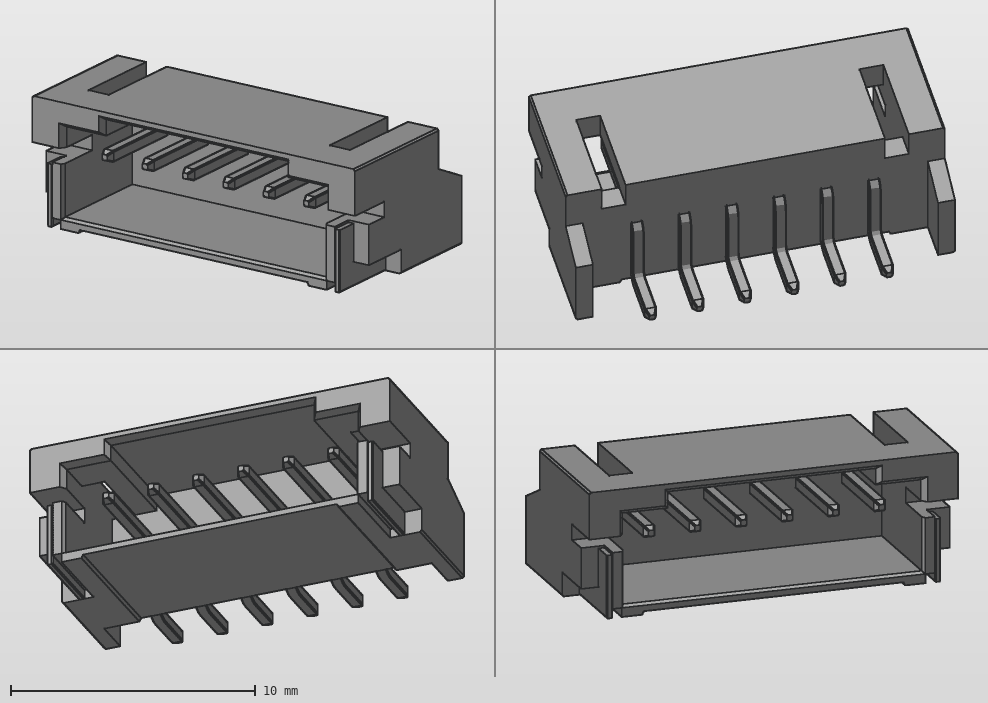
import cadquery as cq


width = 16.0
height = 5.5
block_depth = 6.05
edge_chamfer = 0.08

arm_thickness = 0.72
arm_back = 7.73
arm_low_top = 2.98
arm_high_top = 3.76

cavity_depth = 5.02
side_wall = 1.52
floor_thickness = 0.5
step_top = 4.38
cavity_top = 5.09
cavity_half_width = width / 2 - side_wall
step_half_width = 4.51
upper_mouth_growth = 0.2
upper_mouth_depth = 0.27
lower_mouth_growth = 0.1
lower_mouth_depth = 0.18

notch_bottom = 2.82
notch_top = 3.49
notch_depth = 2.13
notch_middle = (notch_bottom + notch_top) / 2
slot_width = 1.0
slot_front = 1.85
recess_height = 0.15
recess_end_wall = 2.29
recess_end_slope = 0.08
undercut_height = 0.4
undercut_inner = 1.4

tab_thickness = 0.25
tab_inset = 0.75
tab_height = 2.72
tab_edge_chamfer = 0.05
leg_depth = 1.0
foot_depth = 3.33
foot_height = 1.05
tab_seat = tab_inset + tab_thickness

pin_count = 6
pin_pitch = 2.0
pin_size = 0.5
pin_edge_chamfer = 0.05
pin_axis_height = 3.17
pin_front = 0.86
pin_back = 8.6
pin_leg_center = 6.1
bend_radius = 0.5
tip_length = 0.3
tip_size = 0.25
foot_axis_height = pin_size / 2


def box(x_range, y_range, z_range):
    """Block spanning the given (low, high) ranges."""
    lows, highs = zip(x_range, y_range, z_range)
    sizes = [high - low for low, high in zip(lows, highs)]
    return cq.Workplane("XY").box(*sizes, centered=False).translate(lows)


def cut_at_both_ends(body, left_shape):
    """Cut the shape at the -X end and its mirror image at the +X end."""
    return body.cut(left_shape).cut(left_shape.mirror("YZ"))


def prism(points_yz, x_start, thickness):
    """Outline in the YZ plane, extruded towards +X from x_start."""
    return cq.Workplane("YZ", origin=(x_start, 0, 0)).polyline(points_yz).close().extrude(thickness)


def l_outline(top):
    """Upright leg at the mouth with a lower foot behind it."""
    return [
        (0, 0),
        (foot_depth, 0),
        (foot_depth, foot_height),
        (leg_depth, foot_height),
        (leg_depth, top),
        (0, top),
    ]


def stepped_outline(bottom, growth=0.0):
    """Cavity outline from the given height to its stepped top, its sides and top moved out by growth."""
    half_outline = [
        (cavity_half_width + growth, bottom),
        (cavity_half_width + growth, step_top + growth),
        (step_half_width + growth, step_top + growth),
        (step_half_width + growth, cavity_top + growth),
    ]
    return half_outline + [(-x, z) for x, z in reversed(half_outline)]


def lower_outline(growth=0.0):
    """Cavity outline below the side notches, its sides and floor moved out by growth."""
    half_outline = [
        (cavity_half_width + growth, floor_thickness - growth),
        (cavity_half_width + growth, notch_middle),
    ]
    return half_outline + [(-x, z) for x, z in reversed(half_outline)]


def mouth_flare(front_outline, inner_outline, depth):
    """Flare from the outline on the front face to the one at the given depth."""
    front = cq.Workplane("XZ").polyline(front_outline).close()
    return front.workplane(offset=-depth).polyline(inner_outline).close().loft(ruled=True)


def make_outer_shape():
    """Block with two rear arms, its four long corners chamfered."""
    section = cq.Sketch().rect(width, height).vertices().chamfer(edge_chamfer)
    shape = cq.Workplane("XZ", origin=(0, 0, height / 2)).placeSketch(section).extrude(-arm_back)

    above_arms = prism(
        [(block_depth, arm_high_top), (arm_back, arm_low_top), (arm_back, height), (block_depth, height)],
        -width / 2,
        width,
    )
    arm_inner = width / 2 - arm_thickness
    between_arms = box((-arm_inner, arm_inner), (block_depth, arm_back), (0, height))
    return shape.cut(above_arms).cut(between_arms)


def make_housing(pins):
    """Outer shape with the cavity and all openings cut into it."""
    left = -width / 2
    housing = make_outer_shape()

    cavity = cq.Workplane("XZ").polyline(stepped_outline(floor_thickness)).close().extrude(-cavity_depth)
    housing = housing.cut(cavity)
    upper_front = stepped_outline(notch_middle, upper_mouth_growth)
    upper_flare = mouth_flare(upper_front, stepped_outline(notch_middle), upper_mouth_depth)
    lower_front = lower_outline(lower_mouth_growth)
    lower_flare = mouth_flare(lower_front, lower_outline(), lower_mouth_depth)
    housing = housing.cut(upper_flare).cut(lower_flare)

    notch = box((left, left + side_wall), (0, notch_depth), (notch_bottom, notch_top))
    housing = cut_at_both_ends(housing, notch)

    slot_left = left + side_wall
    slot = box((slot_left, slot_left + slot_width), (slot_front, block_depth), (step_top, height))
    housing = cut_at_both_ends(housing, slot)

    seat = prism(l_outline(notch_bottom), left, tab_seat)
    housing = cut_at_both_ends(housing, seat)
    undercut = box((left + tab_seat, left + undercut_inner), (0, foot_depth), (0, undercut_height))
    housing = cut_at_both_ends(housing, undercut)

    recess_half_width = width / 2 - recess_end_wall
    recess = (
        cq.Workplane("XZ")
        .polyline([
            (-recess_half_width, 0),
            (recess_half_width, 0),
            (recess_half_width - recess_end_slope, recess_height),
            (-recess_half_width + recess_end_slope, recess_height),
        ])
        .close()
        .extrude(-block_depth)
    )
    housing = housing.cut(recess)

    for pin in pins:
        housing = housing.cut(pin)
    return housing


def make_left_tab():
    """L-shaped plate with its front and bottom edges chamfered."""
    tab = prism(l_outline(tab_height), tab_inset - width / 2, tab_thickness)
    tab = tab.faces("<Y").edges("|Z").chamfer(tab_edge_chamfer)
    return tab.faces("<Z").edges("|Y").chamfer(tab_edge_chamfer)


def pin_section(size):
    """Square with cut corners."""
    return cq.Sketch().rect(size, size).vertices().chamfer(pin_edge_chamfer)


def pin_tip(y_base, y_end, center_height):
    """Tapered end from the full section to a smaller one."""
    end = pin_section(tip_size).moved(cq.Location(cq.Vector(0, 0, y_base - y_end)))
    plane = cq.Workplane("XZ", origin=(0, y_base, center_height))
    return plane.placeSketch(pin_section(pin_size), end).loft()


def make_pin(x):
    """Pin that runs back through the rear wall, down to the mounting plane and out to the back."""
    front_base = pin_front + tip_length
    back_base = pin_back - tip_length
    path = (
        cq.Workplane("YZ")
        .moveTo(front_base, pin_axis_height)
        .lineTo(pin_leg_center - bend_radius, pin_axis_height)
        .tangentArcPoint((pin_leg_center, pin_axis_height - bend_radius), relative=False)
        .lineTo(pin_leg_center, foot_axis_height + bend_radius)
        .tangentArcPoint((pin_leg_center + bend_radius, foot_axis_height), relative=False)
        .lineTo(back_base, foot_axis_height)
    )
    start = cq.Workplane("XZ", origin=(0, front_base, pin_axis_height))
    bar = start.placeSketch(pin_section(pin_size)).sweep(path)
    pin = bar.union(pin_tip(front_base, pin_front, pin_axis_height))
    pin = pin.union(pin_tip(back_base, pin_back, foot_axis_height))
    return pin.translate((x, 0, 0))


pins = [make_pin((index - (pin_count - 1) / 2) * pin_pitch) for index in range(pin_count)]
housing = make_housing(pins)
left_tab = make_left_tab()
tabs = [left_tab, left_tab.mirror("YZ")]

result = cq.Compound.makeCompound([housing.val(), *[pin.val() for pin in pins], *[tab.val() for tab in tabs]])